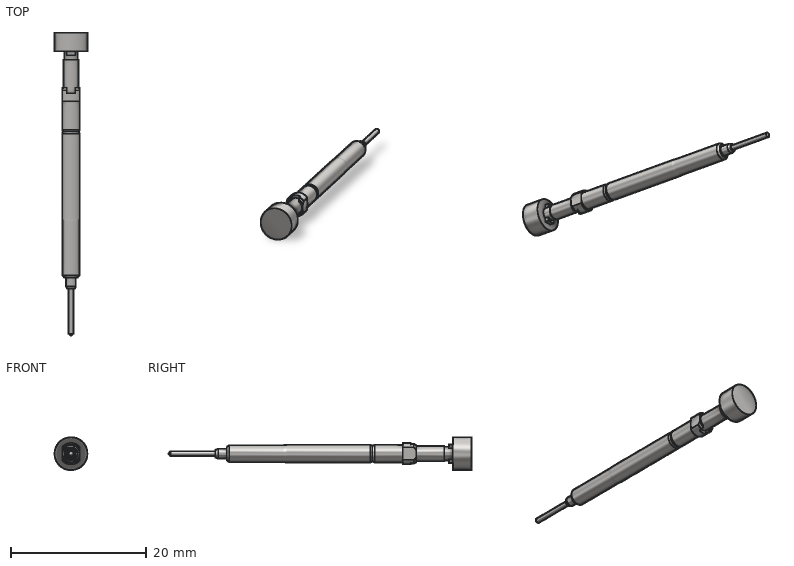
import cadquery as cq

overall_length = 44.8

head_radius = 2.44
head_end = 2.8

neck_radius = 1.05
neck_end = 4.05

body_radius = 1.142
body_end = 8.15

flange_radius = 1.59
flange_end = 10.15
flange_bevel_length = 0.35
flange_bevel_depth = 0.2
flange_flat_offset = 1.3

barrel_radius = 1.32
groove_start = 14.35
groove_length = 0.63
groove_depth = 0.15
groove_step_length = 0.3
taper_start = 27.37
taper_end = 27.8

sleeve_radius = 1.275
sleeve_end = 35.85

collar_tip_radius = 1.0
collar_end = 36.2

nose_radius = 0.74
nose_end = 37.45

nose_cone_tip_radius = 0.6
nose_cone_end = 37.85

pin_radius = 0.37
pin_point_length = 0.3

key_width = 1.25
lug_height = 1.4
lug_length = 0.6
slot_length = 0.8


def revolved_body():
    """Turned profile, radius along X and axial distance along -Y, spun about Y."""
    profile = [
        (0, 0),
        (head_radius, 0),
        (head_radius, head_end),
        (neck_radius, head_end),
        (neck_radius, neck_end),
        (body_radius, neck_end),
        (body_radius, body_end),
        (flange_radius - flange_bevel_depth, body_end),
        (flange_radius, body_end + flange_bevel_length),
        (flange_radius, flange_end),
        (barrel_radius, flange_end),
        (barrel_radius, groove_start),
        (barrel_radius - groove_depth, groove_start + groove_step_length),
        (barrel_radius, groove_start + groove_length),
        (barrel_radius, taper_start),
        (sleeve_radius, taper_end),
        (sleeve_radius, sleeve_end),
        (collar_tip_radius, collar_end),
        (nose_radius, collar_end),
        (nose_radius, nose_end),
        (nose_cone_tip_radius, nose_cone_end),
        (pin_radius, nose_cone_end),
        (pin_radius, overall_length - pin_point_length),
        (0, overall_length),
    ]
    points = [(radius, -distance) for radius, distance in profile]
    return cq.Workplane("XY").polyline(points).close().revolve(360, (0, 0), (0, 1))


def axial_box(width, height, start, length):
    """Box centred on the axis in X and Z, covering one stretch of the part's length."""
    return cq.Workplane("XY").box(width, length, height).translate((0, -start - length / 2, 0))


def flange_side_cuts():
    """Material outside the two flats of the flange."""
    length = flange_end - body_end
    outside = axial_box(2 * head_radius, 2 * head_radius, body_end, length)
    return outside.cut(axial_box(2 * flange_flat_offset, 2 * head_radius, body_end, length))


def flange_slots():
    """Two slots through the flange rim, with the body cylinder as their floor."""
    slots = axial_box(key_width, 2 * head_radius, body_end, slot_length)
    core = (
        cq.Workplane("XZ", origin=(0, -body_end, 0))
        .circle(body_radius)
        .extrude(slot_length)
    )
    return slots.cut(core)


lugs = axial_box(key_width, 2 * lug_height, head_end, lug_length)
result = revolved_body().union(lugs).cut(flange_side_cuts()).cut(flange_slots())